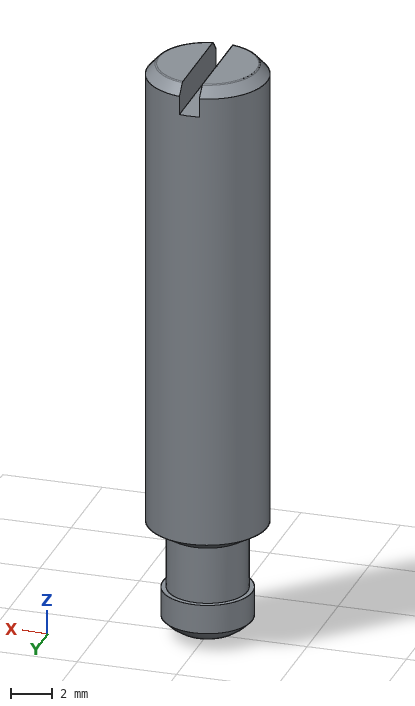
import cadquery as cq
import math

total_length = 30.0

body_radius = 3.0
body_bottom_z = 6.0
top_chamfer_width = 0.5
top_chamfer_height = 0.55
top_edge_radius = 0.1
bottom_chamfer_height = 0.6

neck_radius = 2.0
tip_radius = 2.25
tip_top_z = 2.5
dome_radius = 3.0

slot_width = 1.0
slot_depth = 1.5


def make_pin():
    """Revolve the half profile (radius, height) about the Z axis."""
    dome_height = dome_radius - math.sqrt(dome_radius**2 - tip_radius**2)
    half_angle = math.asin(tip_radius / dome_radius) / 2
    dome_middle = (
        dome_radius * math.sin(half_angle),
        dome_radius * (1 - math.cos(half_angle)),
    )
    neck_top_z = body_bottom_z - bottom_chamfer_height
    profile = (
        cq.Workplane("XZ")
        .moveTo(0, 0)
        .threePointArc(dome_middle, (tip_radius, dome_height))
        .lineTo(tip_radius, tip_top_z)
        .lineTo(neck_radius, tip_top_z)
        .lineTo(neck_radius, neck_top_z)
        .lineTo(body_radius, body_bottom_z)
        .lineTo(body_radius, total_length - top_chamfer_height)
        .lineTo(body_radius - top_chamfer_width, total_length)
        .lineTo(0, total_length)
        .close()
    )
    pin = profile.revolve(360, (0, 0, 0), (0, 1, 0))
    return pin.faces(">Z").edges().fillet(top_edge_radius)


def make_slot():
    """Straight slot cut down from the top face, open at both ends."""
    return (
        cq.Workplane("XY")
        .workplane(offset=total_length - slot_depth)
        .rect(slot_width, 2 * body_radius)
        .extrude(slot_depth)
    )


result = make_pin().cut(make_slot())